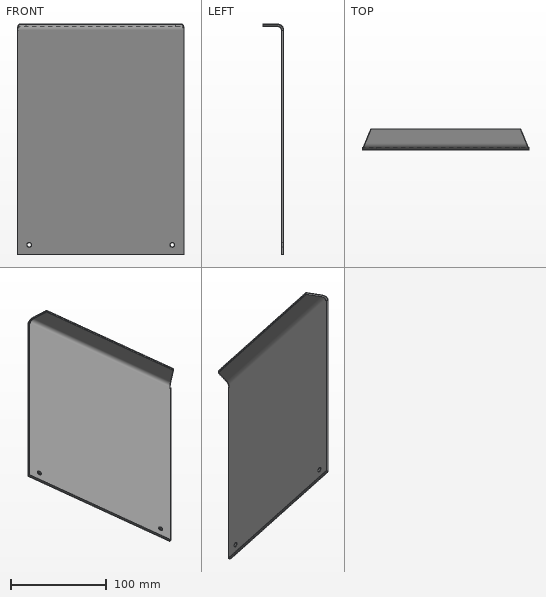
import cadquery as cq
import math

width = 174.7
depth = 22.0
height = 241.0

thickness = 2.5
outer_bend_radius = 6.5
inner_bend_radius = outer_bend_radius - thickness

taper_angle = 22.5
taper_inset = depth * math.tan(math.radians(taper_angle))

hole_diameter = 4.5
hole_side_offset = 12.5
hole_bottom_offset = 10.1


def bent_sheet():
    """Upright panel with its front face at Y = 0, bent back into a top flange."""
    arc_scale = math.sqrt(0.5)
    outer_mid = outer_bend_radius * arc_scale
    inner_mid = inner_bend_radius * arc_scale
    bend_y = outer_bend_radius
    bend_z = height - outer_bend_radius
    return (
        cq.Workplane("YZ")
        .moveTo(0, 0)
        .lineTo(0, bend_z)
        .threePointArc((bend_y - outer_mid, bend_z + outer_mid), (bend_y, height))
        .lineTo(depth, height)
        .lineTo(depth, height - thickness)
        .lineTo(bend_y, height - thickness)
        .threePointArc((bend_y - inner_mid, bend_z + inner_mid), (thickness, bend_z))
        .lineTo(thickness, 0)
        .close()
        .extrude(width / 2, both=True)
    )


def flange_end_cut(side):
    """Wedge that tapers one end of the bend and flange; side is -1 or 1."""
    edge_x = side * width / 2
    return (
        cq.Workplane("XY")
        .workplane(offset=height - outer_bend_radius)
        .polyline([(edge_x, 0), (edge_x, depth), (edge_x - side * taper_inset, depth)])
        .close()
        .extrude(outer_bend_radius)
    )


def mounting_hole(side):
    """Cutter through the panel near one bottom corner; side is -1 or 1."""
    hole_x = side * (width / 2 - hole_side_offset)
    return (
        cq.Workplane("XZ")
        .center(hole_x, hole_bottom_offset)
        .circle(hole_diameter / 2)
        .extrude(-thickness)
    )


result = bent_sheet()
for side in (-1, 1):
    result = result.cut(flange_end_cut(side)).cut(mounting_hole(side))